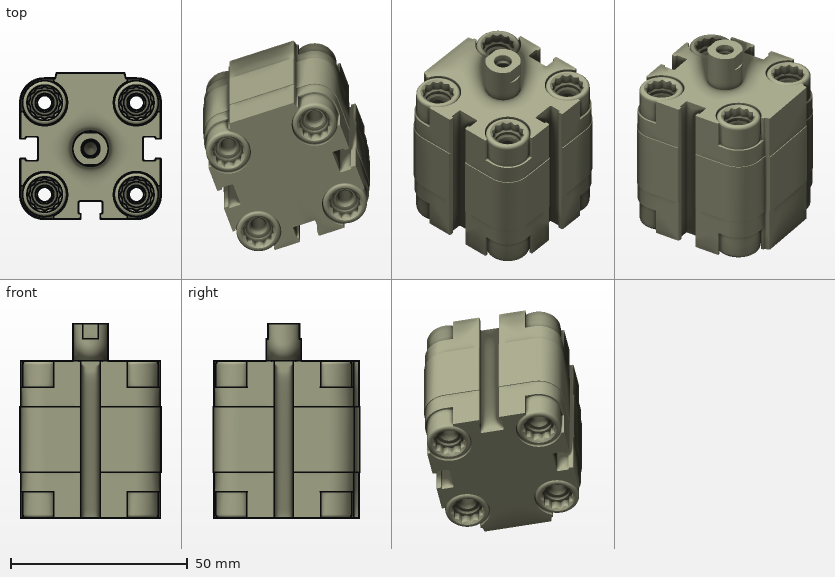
import cadquery as cq
import math

total_height = 55.0
housing_height = 44.5
cap_height = 13.0

barrel_width = 40.0
cap_inset = 0.2
bolt_offset = 13.0
ridge_height = 1.55
ridge_top_width = 19.25
ridge_base_width = 19.95
ridge_fillet = 0.35

mouth_width = 5.5
mouth_fillet = 0.4
chamber_width = 6.7
chamber_fillet = 0.4
slot_depth = 5.1
lip_thickness = 1.6

pocket_diameter = 13.0
pocket_depth = 7.5
pocket_side = 10.45
head_diameter = 12.5
head_fillet = 1.0
bolt_hole_diameter = 4.1

socket_rim_diameter = 10.0
socket_flats = 8.1
socket_lead_in = 0.75
socket_depth = 3.2
recess_diameter = 7.2
recess_depth = 1.0
countersink_diameter = 5.3
countersink_depth = 1.0

rod_diameter = 10.0
rod_flats = 9.0
rod_flats_length = 4.3
rod_mouth_diameter = 5.3
rod_bore_diameter = 5.0
rod_bore_depth = 2.2
rod_drill_diameter = 4.1
rod_drill_depth = 8.0
drill_tip_angle = 118.0

barrel_half = barrel_width / 2


def cylinder(diameter, bottom, top):
    """Vertical cylinder on the Z axis."""
    return cq.Workplane("XY", origin=(0, 0, bottom)).circle(diameter / 2).extrude(top - bottom)


def cone(bottom_diameter, top_diameter, bottom, top):
    """Vertical cone on the Z axis."""
    base = cq.Vector(0, 0, bottom)
    return cq.Workplane(cq.Solid.makeCone(bottom_diameter / 2, top_diameter / 2, top - bottom, base))


def countersink(large_diameter, small_diameter, top):
    """90-degree cone that narrows downwards from a given height."""
    return cone(small_diameter, large_diameter, top - (large_diameter - small_diameter) / 2, top)


def slot_cutter(half_width, length):
    """T-slot in the -Y side, with rounded mouth edges on a face at Y = -half_width."""
    face = -half_width
    floor = -barrel_half + slot_depth
    half_mouth = mouth_width / 2
    flare = half_mouth + mouth_fillet
    mouth = (
        cq.Workplane("XY")
        .moveTo(-flare, face)
        .radiusArc((-half_mouth, face + mouth_fillet), -mouth_fillet)
        .lineTo(-half_mouth, floor)
        .lineTo(half_mouth, floor)
        .lineTo(half_mouth, face + mouth_fillet)
        .radiusArc((flare, face), -mouth_fillet)
        .close()
        .extrude(length)
    )
    chamber_depth = slot_depth - lip_thickness
    chamber = (
        cq.Workplane("XY", origin=(0, floor - chamber_depth / 2, 0))
        .rect(chamber_width, chamber_depth)
        .extrude(length)
        .edges("|Z")
        .fillet(chamber_fillet)
    )
    return mouth.union(chamber)


def housing_section(inset, bottom, top):
    """Length of the housing: rounded square with a ridge on +Y and T-slots on the other sides."""
    half = barrel_half - inset
    length = top - bottom
    square = cq.Workplane("XY").rect(2 * half, 2 * half).extrude(length)
    square = square.edges("|Z").fillet(half - bolt_offset)

    half_base = ridge_base_width / 2
    half_top = ridge_top_width / 2
    ridge_outline = [
        (-half_base, 0),
        (-half_base, half),
        (-half_top, half + ridge_height),
        (half_top, half + ridge_height),
        (half_base, half),
        (half_base, 0),
    ]
    ridge = cq.Workplane("XY").polyline(ridge_outline).close().extrude(length)
    section = square.union(ridge)
    ridge_edges = section.edges("|Z").filter(lambda edge: abs(edge.Center().x) <= half_base + ridge_fillet)
    section = ridge_edges.fillet(ridge_fillet)

    for angle in (-90, 0, 90):
        section = section.cut(slot_cutter(half, length).rotate((0, 0, 0), (0, 0, 1), angle))
    return section.translate((0, 0, bottom))


def corner_pocket():
    """Clearance around a bolt head at the top of the +X +Y corner, open to the outside."""
    floor = housing_height - pocket_depth
    clearance = cylinder(pocket_diameter, floor, housing_height).translate((bolt_offset, bolt_offset, 0))
    opening = (
        cq.Workplane("XY", origin=(pocket_side, pocket_side, floor))
        .box(barrel_half, barrel_half, pocket_depth, centered=False)
    )
    return clearance.union(opening)


def bolt_head():
    """Bolt head of the +X +Y corner: a round head with a twelve-point socket and a through hole."""
    top = housing_height
    seat = top - pocket_depth
    socket_floor = top - socket_depth
    recess_floor = socket_floor - recess_depth

    head = cylinder(head_diameter, seat, top).faces(">Z").edges().fillet(head_fillet)

    hexagon = (
        cq.Workplane("XY", origin=(0, 0, socket_floor))
        .polygon(6, socket_flats, circumscribed=True)
        .extrude(socket_depth)
    )
    for angle in (0, 30):
        head = head.cut(hexagon.rotate((0, 0, 0), (0, 0, 1), angle))
    head = head.cut(cone(socket_flats, socket_rim_diameter, top - socket_lead_in, top))
    head = head.cut(cylinder(recess_diameter, recess_floor, socket_floor))
    head = head.cut(cone(bolt_hole_diameter, countersink_diameter, recess_floor - countersink_depth, recess_floor))
    head = head.cut(cylinder(bolt_hole_diameter, seat, top))
    return head.translate((bolt_offset, bolt_offset, 0))


def at_all_corners(corner_feature):
    """Copies of a top corner feature at all four corners of both ends."""
    copies = []
    for quarter in range(4):
        upper = corner_feature.rotate((0, 0, 0), (0, 0, 1), 90 * quarter)
        lower = upper.mirror("XY", (0, 0, housing_height / 2))
        copies += [upper, lower]
    return copies


def build_housing():
    """Cylinder housing with its bolt heads, in one piece."""
    barrel_top = housing_height - cap_height
    body = housing_section(0, cap_height, barrel_top)
    body = body.union(housing_section(cap_inset, 0, cap_height))
    body = body.union(housing_section(cap_inset, barrel_top, housing_height))

    bolt_spacing = 2 * bolt_offset
    bolt_holes = (
        cq.Workplane("XY")
        .rect(bolt_spacing, bolt_spacing, forConstruction=True)
        .vertices()
        .circle(bolt_hole_diameter / 2)
        .extrude(housing_height)
    )
    body = body.cut(bolt_holes)
    for pocket in at_all_corners(corner_pocket()):
        body = body.cut(pocket)
    for head in at_all_corners(bolt_head()):
        body = body.union(head)
    return body


def build_rod():
    """Piston rod end standing on the housing, with wrench flats and a stepped blind bore."""
    rod = cylinder(rod_diameter, housing_height, total_height)
    flats_start = total_height - rod_flats_length
    flats_blank = (
        cq.Workplane("XY", origin=(0, 0, flats_start))
        .rect(rod_diameter, rod_flats)
        .extrude(rod_flats_length)
    )
    flats_waste = cylinder(2 * rod_diameter, flats_start, total_height).cut(flats_blank)
    rod = rod.cut(flats_waste)

    bore_floor = total_height - rod_bore_depth
    drill_end = total_height - rod_drill_depth
    tip_length = rod_drill_diameter / 2 / math.tan(math.radians(drill_tip_angle / 2))
    rod = rod.cut(countersink(rod_mouth_diameter, rod_bore_diameter, total_height))
    rod = rod.cut(cylinder(rod_bore_diameter, bore_floor, total_height))
    rod = rod.cut(countersink(rod_bore_diameter, rod_drill_diameter, bore_floor))
    rod = rod.cut(cylinder(rod_drill_diameter, drill_end, total_height))
    return rod.cut(cone(0, rod_drill_diameter, drill_end - tip_length, drill_end))


housing = build_housing()
piston_rod = build_rod()

result = cq.Compound.makeCompound([housing.val(), piston_rod.val()])